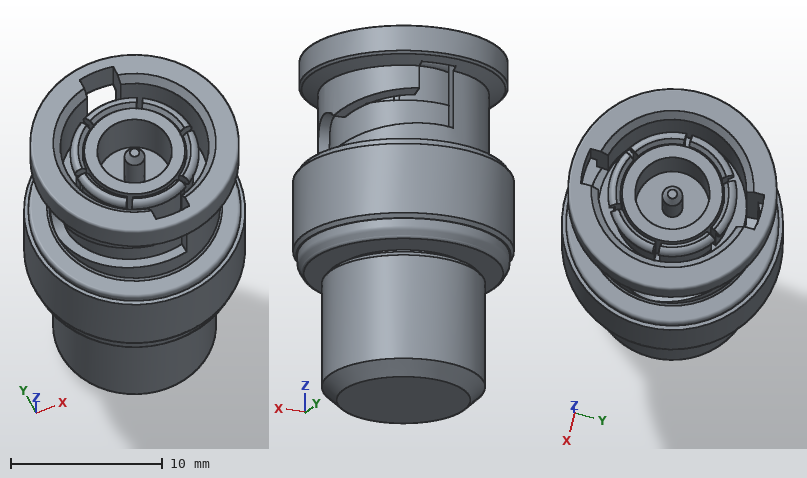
import cadquery as cq
import math

LENGTH = 23.85

BODY_R = 5.4
BODY_END_R = 4.41
BODY_CHAMFER = 0.93
BODY_SHOULDER_R = 5.1
BODY_SHOULDER_Z = 8.2
BODY_TOP_Z = 8.55
NECK_R = 4.44

COLLAR_R = 7.0
COLLAR_BASE_Z = 8.92
COLLAR_TOP_Z = 15.85
COLLAR_BASE_R = 6.58
COLLAR_ROUND = 0.21
BEVEL_TOP_Z = 9.64
BEVEL_CONE_TOP_R = 6.95
BEVEL_CONE_TOP_Z = 9.4
BEVEL_CONE_LOW_R = 6.75
BEVEL_CONE_LOW_Z = 9.09
BEVEL_TOP_ROUND = 0.45
BEVEL_LOW_ROUND = 0.25
GRIP_R = 7.3
GRIP_BASE_Z = 10.18
GRIP_TOP_Z = 15.34
GRIP_CHAMFER_R = 0.21
GRIP_CHAMFER_Z = 0.29

SLEEVE_R = 5.65
SLEEVE_FOOT = 0.15
FLANGE_R = 6.9
FLANGE_EDGE_R = 6.73
FLANGE_EDGE_Z = 21.87
FLANGE_LOW_Z = 22.04
FLANGE_CONE_Z = 21.46
FLANGE_ROUND = 0.17
BORE_R = 4.9
BORE_FLOOR_Z = 19.3
BORE_CHAMFER = 0.48

KEY_HALF_WIDTH = 1.22
KEY_REACH = 6.05
LOCK_HOLE_R = 1.62
LOCK_HOLE_Z = 17.7
RAMP_ANGLE = 14.4
RAMP_TOP_OFFSET = 0.76
SLOT_CUT_REACH = 7.15

FINGER_TOP_Z = 22.9
INSULATOR_TOP_Z = 22.8
FINGER_R = 4.25
FINGER_BEAD = 0.38
FINGER_LIP_R = 3.72
FINGER_BORE_R = 3.43
FINGER_COUNT = 6
FINGER_GAP = 0.38
INSULATOR_R = 3.32
INSULATOR_BORE_R = 2.45
PIN_R = 0.67
PIN_TIP_R = 0.3
PIN_TIP_Z = 22.6
PIN_SHOULDER_Z = 22.09


def revolve(sketch):
    """Close an (r, z) half profile and spin it about the Z axis."""
    return sketch.close().revolve(360, (0, 0, 0), (0, 1, 0))


def make_core():
    """Body, neck, collar and grip band, solid up to the floor of the bore."""
    return revolve(cq.Workplane("XZ").polyline([
        (0, 0),
        (BODY_END_R, 0),
        (BODY_R, BODY_CHAMFER),
        (BODY_R, BODY_SHOULDER_Z),
        (BODY_SHOULDER_R, BODY_TOP_Z),
        (NECK_R, BODY_TOP_Z),
        (NECK_R, COLLAR_BASE_Z),
        (COLLAR_BASE_R, COLLAR_BASE_Z),
    ]).radiusArc((BEVEL_CONE_LOW_R, BEVEL_CONE_LOW_Z), -BEVEL_LOW_ROUND)
        .lineTo(BEVEL_CONE_TOP_R, BEVEL_CONE_TOP_Z)
        .radiusArc((COLLAR_R, BEVEL_TOP_Z), -BEVEL_TOP_ROUND)
        .lineTo(COLLAR_R, GRIP_BASE_Z)
        .lineTo(GRIP_R - GRIP_CHAMFER_R, GRIP_BASE_Z)
        .lineTo(GRIP_R, GRIP_BASE_Z + GRIP_CHAMFER_Z)
        .lineTo(GRIP_R, GRIP_TOP_Z)
        .lineTo(COLLAR_R, GRIP_TOP_Z)
        .lineTo(COLLAR_R, COLLAR_TOP_Z - COLLAR_ROUND)
        .radiusArc((COLLAR_R - COLLAR_ROUND, COLLAR_TOP_Z), -COLLAR_ROUND)
        .lineTo(SLEEVE_R + SLEEVE_FOOT, COLLAR_TOP_Z)
        .lineTo(SLEEVE_R, COLLAR_TOP_Z + SLEEVE_FOOT)
        .lineTo(BORE_R, COLLAR_TOP_Z + SLEEVE_FOOT)
        .lineTo(BORE_R, BORE_FLOOR_Z)
        .lineTo(0, BORE_FLOOR_Z))


def make_sleeve():
    """Slotted sleeve with its end flange."""
    sleeve = revolve(cq.Workplane("XZ").polyline([
        (BORE_R, COLLAR_TOP_Z),
        (SLEEVE_R, COLLAR_TOP_Z),
        (SLEEVE_R, FLANGE_CONE_Z),
        (FLANGE_EDGE_R, FLANGE_EDGE_Z),
        (FLANGE_R, FLANGE_LOW_Z),
        (FLANGE_R, LENGTH - FLANGE_ROUND),
    ]).radiusArc((FLANGE_R - FLANGE_ROUND, LENGTH), -FLANGE_ROUND)
        .lineTo(BORE_R + BORE_CHAMFER, LENGTH)
        .lineTo(BORE_R, LENGTH - BORE_CHAMFER))
    slot = make_bayonet_slot()
    return sleeve.cut(slot).cut(slot.rotate((0, 0, 0), (0, 0, 1), 180))


def make_bayonet_slot():
    """Cutter for one slot: key groove at -Y, ramp, and lock hole at -X."""
    ramp_slope = math.tan(math.radians(RAMP_ANGLE))
    rise_factor = 1 / math.cos(math.radians(RAMP_ANGLE))
    ramp_low_z = LOCK_HOLE_Z - LOCK_HOLE_R * rise_factor
    ramp_high_z = LOCK_HOLE_Z + RAMP_TOP_OFFSET * rise_factor
    ramp_rise = SLOT_CUT_REACH * ramp_slope
    tangent_y = -LOCK_HOLE_R * math.sin(math.radians(RAMP_ANGLE))
    tangent_z = ramp_low_z - tangent_y * ramp_slope

    start_x = -SLOT_CUT_REACH
    plane = cq.Workplane("YZ").workplane(offset=start_x)
    ramp = plane.polyline([
        (0, LOCK_HOLE_Z),
        (tangent_y, tangent_z),
        (-SLOT_CUT_REACH, ramp_low_z + ramp_rise),
        (-SLOT_CUT_REACH, ramp_high_z + ramp_rise),
        (0, ramp_high_z),
    ]).close().extrude(KEY_HALF_WIDTH - start_x)
    hole = plane.center(0, LOCK_HOLE_Z).circle(LOCK_HOLE_R).extrude(-start_x)

    groove_floor_z = LOCK_HOLE_Z + LOCK_HOLE_R
    groove = cq.Workplane("XY").box(
        2 * KEY_HALF_WIDTH, KEY_REACH, LENGTH - groove_floor_z, centered=(True, False, False)
    ).translate((0, -KEY_REACH, groove_floor_z))
    groove = groove.intersect(cq.Workplane("XY").circle(KEY_REACH).extrude(LENGTH))
    return ramp.union(hole).union(groove)


def make_spring_contact():
    """Ring of spring fingers with a beaded tip and a flared mouth."""
    shank_r = FINGER_R - FINGER_BEAD
    lip_chamfer = FINGER_LIP_R - FINGER_BORE_R
    ring = revolve(
        cq.Workplane("XZ")
        .moveTo(FINGER_BORE_R, BORE_FLOOR_Z)
        .lineTo(shank_r, BORE_FLOOR_Z)
        .lineTo(shank_r, FINGER_TOP_Z - 2 * FINGER_BEAD)
        .threePointArc((FINGER_R, FINGER_TOP_Z - FINGER_BEAD), (shank_r, FINGER_TOP_Z))
        .lineTo(FINGER_LIP_R, FINGER_TOP_Z)
        .lineTo(FINGER_BORE_R, FINGER_TOP_Z - lip_chamfer)
    )
    gap = cq.Workplane("XY").box(
        BORE_R, FINGER_GAP, LENGTH - BORE_FLOOR_Z, centered=(False, True, False)
    ).translate((0, 0, BORE_FLOOR_Z))
    for index in range(FINGER_COUNT):
        ring = ring.cut(gap.rotate((0, 0, 0), (0, 0, 1), index * 360 / FINGER_COUNT))
    return ring


def make_insulator():
    """Dielectric tube around the centre pin."""
    floor = cq.Workplane("XY").workplane(offset=BORE_FLOOR_Z)
    ring = floor.circle(INSULATOR_R).circle(INSULATOR_BORE_R)
    return ring.extrude(INSULATOR_TOP_Z - BORE_FLOOR_Z)


def make_pin():
    """Centre pin with a conical tip."""
    return revolve(cq.Workplane("XZ").polyline([
        (0, BORE_FLOOR_Z),
        (PIN_R, BORE_FLOOR_Z),
        (PIN_R, PIN_SHOULDER_Z),
        (PIN_TIP_R, PIN_TIP_Z),
        (0, PIN_TIP_Z),
    ]))


result = (
    make_core()
    .union(make_sleeve())
    .union(make_spring_contact())
    .union(make_insulator())
    .union(make_pin())
)